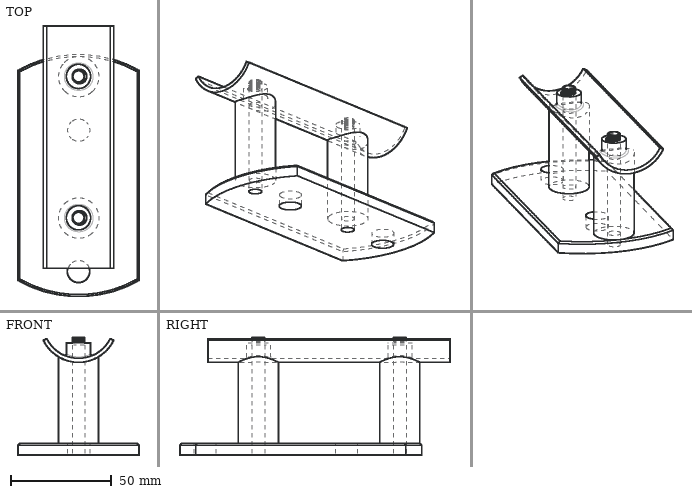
import cadquery as cq
import math

plate_width = 60.0
plate_length = 120.0
plate_thickness = 6.0
plate_edge_chamfer = 1.0
screw_hole_diameter = 11.0
screw_hole_offset = 26.5

column_diameter = 20.0
column_height = 40.0
column_ys = (-21.0, 49.0)

trough_length = 120.0
trough_outer_radius = 19.5
trough_thickness = 2.0
trough_width = 35.0
boss_diameter = 12.0
boss_top_z = 55.6
boss_fillet = 0.8

stud_diameter = 6.4
stud_top_z = 58.5
exposed_turns = 3
thread_depth = 0.45

runout_diameter = 7.2
runout_offset = 0.5
runout_depth = 1.0

thread_pitch = (stud_top_z - boss_top_z) / exposed_turns
trough_center_y = sum(column_ys) / len(column_ys)
trough_inner_radius = trough_outer_radius - trough_thickness
trough_bottom_z = plate_thickness + column_height
trough_axis_z = trough_bottom_z + trough_outer_radius
trough_half_angle = math.asin(trough_width / 2 / trough_outer_radius)


def upright_cylinder(diameter, y, bottom_z, top_z):
    """Vertical cylinder on the X = 0 plane."""
    return (
        cq.Workplane("XY", origin=(0, y, bottom_z))
        .circle(diameter / 2)
        .extrude(top_z - bottom_z)
    )


def trough_cylinder(radius):
    """Cylinder about the trough axis, as long as the trough."""
    return (
        cq.Workplane("XZ", origin=(0, trough_center_y, trough_axis_z))
        .circle(radius)
        .extrude(trough_length / 2, both=True)
    )


def trough_arc_point(radius, angle):
    """Point on an arc about the trough axis, angle measured from straight down."""
    return radius * math.sin(angle), -radius * math.cos(angle)


def make_stud(y):
    stud = upright_cylinder(stud_diameter, y, 0, stud_top_z)
    stud = stud.faces(">Z").chamfer(thread_depth)
    crest_radius = stud_diameter / 2
    for turn in range(1, exposed_turns):
        root_z = boss_top_z + (turn - 0.5) * thread_pitch
        groove = (
            cq.Workplane("XZ", origin=(0, y, root_z))
            .polyline(
                [
                    (crest_radius, -thread_depth),
                    (crest_radius - thread_depth, 0),
                    (crest_radius, thread_depth),
                ]
            )
            .close()
            .revolve(360, (0, 0, 0), (0, 1, 0))
        )
        stud = stud.cut(groove)
    return stud


def make_plate():
    disc = cq.Workplane("XY").circle(plate_length / 2).extrude(plate_thickness)
    strip = cq.Workplane("XY").rect(plate_width, plate_length).extrude(plate_thickness)
    plate = disc.intersect(strip).faces(">Z").chamfer(plate_edge_chamfer)
    for y in column_ys:
        screw_y = y - screw_hole_offset
        plate = plate.cut(upright_cylinder(screw_hole_diameter, screw_y, 0, plate_thickness))
        plate = plate.cut(upright_cylinder(stud_diameter, y, 0, plate_thickness))
    return plate


def make_column(y):
    column = upright_cylinder(column_diameter, y, plate_thickness, trough_axis_z)
    column = column.cut(trough_cylinder(trough_outer_radius))
    return column.cut(upright_cylinder(stud_diameter, y, plate_thickness, trough_axis_z))


def make_trough():
    trough = (
        cq.Workplane("XZ", origin=(0, trough_center_y, trough_axis_z))
        .moveTo(*trough_arc_point(trough_outer_radius, -trough_half_angle))
        .threePointArc(
            trough_arc_point(trough_outer_radius, 0),
            trough_arc_point(trough_outer_radius, trough_half_angle),
        )
        .lineTo(*trough_arc_point(trough_inner_radius, trough_half_angle))
        .threePointArc(
            trough_arc_point(trough_inner_radius, 0),
            trough_arc_point(trough_inner_radius, -trough_half_angle),
        )
        .close()
        .extrude(trough_length / 2, both=True)
    )
    for y in column_ys:
        boss = upright_cylinder(boss_diameter, y, trough_bottom_z, boss_top_z)
        trough = trough.union(boss.intersect(trough_cylinder(trough_outer_radius)))
    half_box = boss_diameter / 2 + boss_fillet
    for y in column_ys:
        foot = cq.selectors.BoxSelector(
            (-half_box, y - half_box, trough_bottom_z + trough_thickness / 2),
            (half_box, y + half_box, boss_top_z - boss_fillet),
        )
        trough = trough.edges(foot).fillet(boss_fillet)
    for y in column_ys:
        trough = trough.cut(upright_cylinder(stud_diameter, y, trough_bottom_z, boss_top_z))
        runout = upright_cylinder(runout_diameter, y, boss_top_z - runout_depth, boss_top_z)
        trough = trough.cut(runout.translate((runout_offset, 0, 0)))
    return trough


plate = make_plate()
columns = [make_column(y) for y in column_ys]
trough = make_trough()
studs = [make_stud(y) for y in column_ys]

result = cq.Compound.makeCompound(
    [
        plate.val(),
        *[column.val() for column in columns],
        trough.val(),
        *[stud.val() for stud in studs],
    ]
)